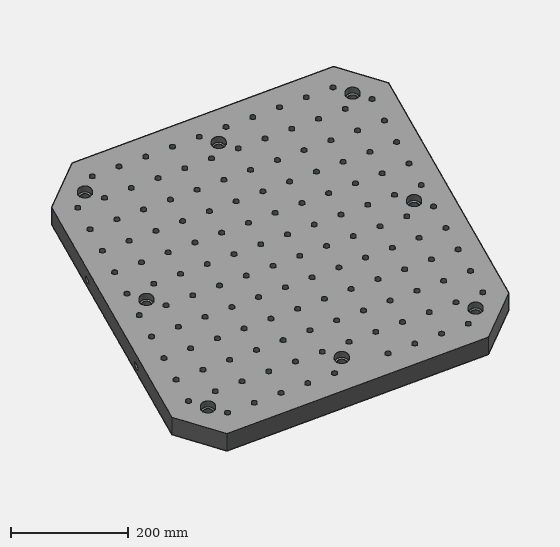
import cadquery as cq

side = 630.0
thickness = 50.0
corner_cut = 70.5

grid_count = 12
grid_span = 550.0
grid_pitch = grid_span / (grid_count - 1)
grid_hole_diameter = 10.0

bolt_square = 500.0
bolt_hole_diameter = 18.0
counterbore_diameter = 26.0
counterbore_depth = 17.0

edge_hole_diameter = 14.0
edge_hole_spacing = 200.0
edge_hole_height = 18.0
edge_hole_depth = 30.0
drill_tip_depth = 4.5


def make_plate():
    """Square plate, centred in X and Y, with its four upright corners cut off."""
    plate = cq.Workplane("XY").box(side, side, thickness, centered=(True, True, False))
    return plate.edges("|Z").chamfer(corner_cut)


def grid_points():
    """Grid positions, leaving out the corners and one place near the middle of the +X side."""
    last = grid_count - 1
    omitted = {(0, 0), (0, last), (last, 0), (last, last), (last, grid_count // 2)}
    return [
        (column * grid_pitch - grid_span / 2, row * grid_pitch - grid_span / 2)
        for column in range(grid_count)
        for row in range(grid_count)
        if (column, row) not in omitted
    ]


def bolt_points():
    """Corners and mid-sides of the bolt square; its centre stays solid."""
    offsets = (-bolt_square / 2, 0, bolt_square / 2)
    return [(x, y) for x in offsets for y in offsets if (x, y) != (0, 0)]


def edge_drill(x):
    """Drill-shaped cutter with a conical tip, entering the -Y edge at position x."""
    radius = edge_hole_diameter / 2
    profile = (
        cq.Workplane("XY")
        .moveTo(0, 0)
        .lineTo(radius, 0)
        .lineTo(radius, edge_hole_depth)
        .lineTo(0, edge_hole_depth + drill_tip_depth)
        .close()
    )
    drill = profile.revolve(360, (0, 0, 0), (0, 1, 0))
    return drill.translate((x, -side / 2, edge_hole_height))


result = make_plate()
result = result.faces(">Z").workplane(origin=(0, 0, 0)).pushPoints(grid_points()).hole(grid_hole_diameter)
result = (
    result.faces(">Z")
    .workplane(origin=(0, 0, 0))
    .pushPoints(bolt_points())
    .cboreHole(bolt_hole_diameter, counterbore_diameter, counterbore_depth)
)
for edge_hole_x in (-edge_hole_spacing / 2, edge_hole_spacing / 2):
    result = result.cut(edge_drill(edge_hole_x))